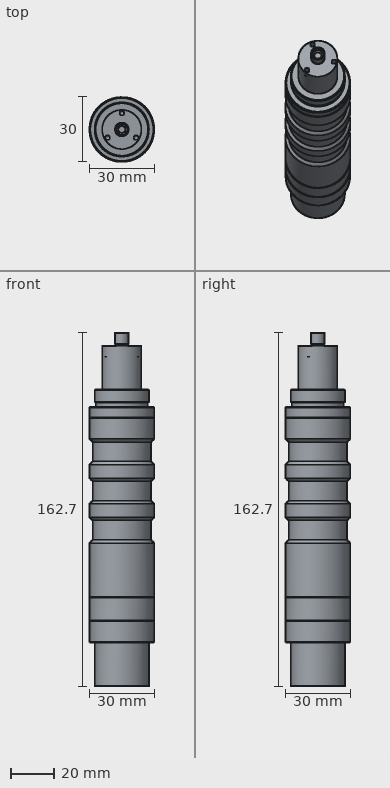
import cadquery as cq
import math

total_height = 162.7

barrel_dia = 30.0
waist_dia = 27.0
foot_dia = 25.0
collar_dia = foot_dia
collar_neck_dia = 24.0
barrel_edge_chamfer = 0.5
collar_edge_chamfer = 0.5
collar_neck_taper = (collar_dia - collar_neck_dia) / 2
waist_taper = (barrel_dia - waist_dia) / 2

barrel_bottom = 20.0
barrel_top = 128.7
collar_top = 136.7
collar_bottom = 131.0
waist_length = 11.9
waist_pitch = 18.0
first_waist_z = 65.9
waist_count = 3

groove_heights = [30.1, 40.8, 123.7]
groove_depth = 0.25

shaft_dia = 18.0
knob_dia = 6.3
knob_neck_dia = 5.5
knob_bottom = 157.7
shaft_top = 156.7
knob_edge_chamfer = (knob_dia - knob_neck_dia) / 2

knob_bore_dia = 5.0
knob_bore_floor_dia = 3.3
knob_bore_depth = 2.6
knob_bore_taper_depth = 0.5

pin_hole_dia = 2.1
pin_hole_depth = 4.9
pin_hole_circle_dia = 15.1
pin_hole_count = 3
drill_point_angle = 118.0


def revolve_profile(points):
    """Turn an outline of (radius, height) points around Z."""
    return cq.Workplane("XZ").polyline(points).close().revolve(360, (0, 0), (0, 1))


def waist_cutter(bottom):
    """Ring that narrows the barrel to the waist diameter between two 45 degree shoulders."""
    waist_r = waist_dia / 2
    barrel_r = barrel_dia / 2
    top = bottom + waist_length
    return revolve_profile([
        (waist_r, bottom + waist_taper),
        (barrel_r, bottom),
        (barrel_r, top),
        (waist_r, top - waist_taper),
    ])


def v_groove_cutter(z):
    """Ring with a V section that cuts a fine groove centred on height z."""
    barrel_r = barrel_dia / 2
    return revolve_profile([
        (barrel_r - groove_depth, z),
        (barrel_r, z - groove_depth),
        (barrel_r, z + groove_depth),
    ])


def make_housing():
    """Stepped round housing: foot, grooved barrel and necked collar."""
    foot = cq.Workplane("XY").circle(foot_dia / 2).extrude(barrel_bottom)
    barrel = (
        cq.Workplane("XY").workplane(offset=barrel_bottom)
        .circle(barrel_dia / 2).extrude(barrel_top - barrel_bottom)
        .edges().chamfer(barrel_edge_chamfer)
    )
    collar_neck_r = collar_neck_dia / 2
    collar_r = collar_dia / 2
    collar = revolve_profile([
        (0, barrel_top),
        (collar_neck_r, barrel_top),
        (collar_neck_r, collar_bottom - collar_neck_taper),
        (collar_r, collar_bottom),
        (collar_r, collar_top - collar_edge_chamfer),
        (collar_r - collar_edge_chamfer, collar_top),
        (0, collar_top),
    ])
    body = foot.union(barrel).union(collar)

    for i in range(waist_count):
        body = body.cut(waist_cutter(first_waist_z + i * waist_pitch))
    for z in groove_heights:
        body = body.cut(v_groove_cutter(z))
    return body


def pin_hole_cutter(angle):
    """Drill shape for one pin hole, turned by an angle around Z from the +Y direction."""
    hole_r = pin_hole_dia / 2
    wall_end = shaft_top - pin_hole_depth
    point = wall_end - hole_r / math.tan(math.radians(drill_point_angle / 2))
    drill = revolve_profile([(0, point), (hole_r, wall_end), (hole_r, shaft_top), (0, shaft_top)])
    return drill.translate((0, pin_hole_circle_dia / 2, 0)).rotate((0, 0, 0), (0, 0, 1), angle)


def make_spindle():
    """Plain shaft standing on the collar, with a bored knob on top."""
    shaft = (
        cq.Workplane("XY").workplane(offset=collar_top)
        .circle(shaft_dia / 2).extrude(shaft_top - collar_top)
    )
    knob_r = knob_dia / 2
    neck_r = knob_neck_dia / 2
    bore_r = knob_bore_dia / 2
    floor_r = knob_bore_floor_dia / 2
    bore_floor = total_height - knob_bore_depth
    knob = revolve_profile([
        (0, shaft_top),
        (neck_r, shaft_top),
        (neck_r, knob_bottom - knob_edge_chamfer),
        (knob_r, knob_bottom),
        (knob_r, total_height),
        (bore_r, total_height),
        (bore_r, bore_floor + knob_bore_taper_depth),
        (floor_r, bore_floor),
        (0, bore_floor),
    ])
    body = shaft.union(knob)
    for i in range(pin_hole_count):
        body = body.cut(pin_hole_cutter(i * 360 / pin_hole_count))
    return body


housing = make_housing()
spindle = make_spindle()

result = cq.Compound.makeCompound([housing.val(), spindle.val()])